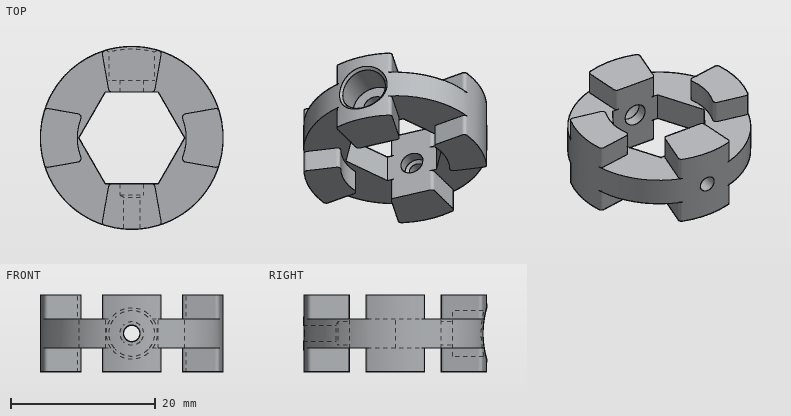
import cadquery as cq
import math

OUTER_RADIUS = 12.7
HEIGHT = 10.668
RING_HEIGHT = 4.064
HEX_ACROSS_FLATS = 12.7

TOOTH_COUNT = 4
TOOTH_SIDE_ANGLE = 10.0
TOOTH_AXIS_HALF_WIDTH = 2.03
TOOTH_INNER_RADIUS = 7.55
TOOTH_CORNER_RADIUS = 0.508

TAP_DIAMETER = 2.26
CLEARANCE_DIAMETER = 3.26
DRILL_POINT_ANGLE = 118.0
HEAD_DIAMETER = 6.35
HEAD_SEAT_Y = 7.9375
CLEARANCE_END_Y = -HEAD_SEAT_Y
HEAD_CHAMFER = 0.381

SEAM_ANGLE = 150.0
HEX_CORNER_DIAMETER = HEX_ACROSS_FLATS / math.cos(math.radians(30))
GAP_DEPTH = (HEIGHT - RING_HEIGHT) / 2
ORIGIN = (0, 0, 0)
Z_AXIS = (0, 0, 1)


def disc(radius):
    """Full-height cylinder on the Z axis, centred on the XY plane."""
    cylinder = cq.Workplane("XY").circle(radius).extrude(HEIGHT / 2, both=True)
    return cylinder.rotate(ORIGIN, Z_AXIS, SEAM_ANGLE)


def hex_prism():
    """Full-height hexagon with corners on the X axis and flats facing Y."""
    return cq.Workplane("XY").polygon(6, HEX_CORNER_DIAMETER).extrude(HEIGHT / 2, both=True)


def make_tooth(angle, bore):
    """Full-height tooth with tapered sides, its inner face left by the bore."""
    reach = 1.2 * OUTER_RADIUS
    outer_half_width = TOOTH_AXIS_HALF_WIDTH + reach * math.tan(math.radians(TOOTH_SIDE_ANGLE))
    wedge = (
        cq.Workplane("XY")
        .moveTo(0, -TOOTH_AXIS_HALF_WIDTH)
        .lineTo(reach, -outer_half_width)
        .lineTo(reach, outer_half_width)
        .lineTo(0, TOOTH_AXIS_HALF_WIDTH)
        .close()
        .extrude(HEIGHT / 2, both=True)
        .rotate(ORIGIN, Z_AXIS, angle)
    )
    tooth = wedge.intersect(disc(OUTER_RADIUS)).cut(bore)
    return tooth.edges("|Z").fillet(TOOTH_CORNER_RADIUS)


def make_gaps():
    """Full-height volume between the teeth."""
    gaps = disc(OUTER_RADIUS)
    for index in range(TOOTH_COUNT):
        on_hex_flat = index % 2 == 1
        bore = hex_prism() if on_hex_flat else disc(TOOTH_INNER_RADIUS)
        gaps = gaps.cut(make_tooth(index * 360 / TOOTH_COUNT, bore))
    return gaps


def make_body():
    """Ring with a hexagonal bore and teeth on both sides."""
    body = disc(OUTER_RADIUS)
    gaps = make_gaps()
    for layer_bottom in (RING_HEIGHT / 2, -HEIGHT / 2):
        layer = (
            cq.Workplane("XY", origin=(0, 0, layer_bottom))
            .rect(3 * OUTER_RADIUS, 3 * OUTER_RADIUS)
            .extrude(GAP_DEPTH)
        )
        body = body.cut(gaps.intersect(layer))
    return body.cut(hex_prism())


def screw_bore(diameter, start_y, end_y):
    """Cylinder on the Y axis from start_y down to end_y."""
    return cq.Workplane("XZ", origin=(0, start_y, 0)).circle(diameter / 2).extrude(start_y - end_y)


def drill_point():
    """Conical end of the clearance bore, narrowing towards -Y."""
    radius = CLEARANCE_DIAMETER / 2
    length = radius / math.tan(math.radians(DRILL_POINT_ANGLE / 2))
    base_centre = cq.Vector(0, CLEARANCE_END_Y, 0)
    return cq.Workplane(cq.Solid.makeCone(radius, 0, length, base_centre, cq.Vector(0, -1, 0)))


def cut_screw_hole(body):
    """Tapped, clearance and head bores on one axis, with the head rim chamfered."""
    body = body.cut(screw_bore(TAP_DIAMETER, 0, -OUTER_RADIUS))
    body = body.cut(screw_bore(CLEARANCE_DIAMETER, OUTER_RADIUS, CLEARANCE_END_Y))
    body = body.cut(drill_point())
    body = body.cut(screw_bore(HEAD_DIAMETER, OUTER_RADIUS, HEAD_SEAT_Y))

    head_radius = HEAD_DIAMETER / 2
    rim_start_y = math.sqrt(OUTER_RADIUS**2 - head_radius**2)
    rim_box = cq.selectors.BoxSelector(
        (-head_radius, rim_start_y, -head_radius),
        (head_radius, OUTER_RADIUS, head_radius),
    )
    return body.edges(rim_box).chamfer(HEAD_CHAMFER)


result = cq.Workplane(cut_screw_hole(make_body()).solids().val())